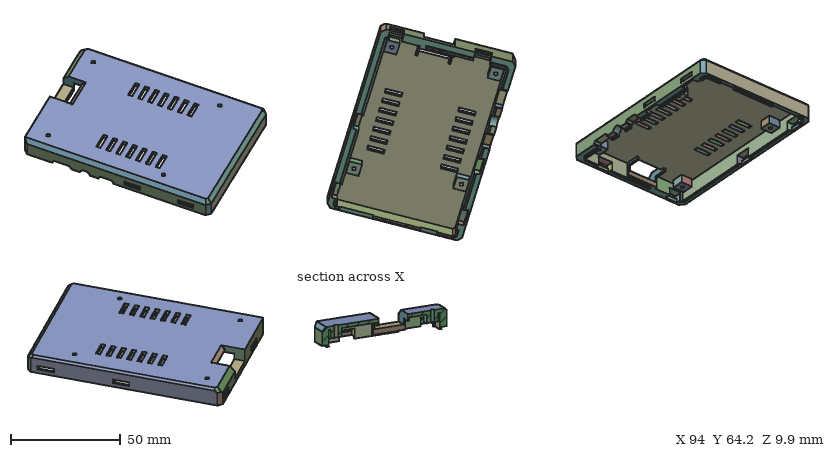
import cadquery as cq


length = 94.0
width = 64.2
body_height = 9.0
corner_chamfer = 2.0
edge_chamfer = 2.0
back_edge_chamfer = 1.0
left_edge_chamfer = 2.6
back_right_corner_chamfer = 1.4
bevel_cutter_length = 2 * length

roof = 2.0
left_wall = 3.95
right_wall = 2.0
side_wall = 3.7
cavity_corner = 0.9
lip_height = 0.9
lip_left_inset = 2.9
lip_right_inset = 0.9
lip_side_inset = 2.6
lip_corner = 1.5

slot_bottom = 2.0
slot_height = 2.0
slot_length = 7.9
latch_skin = 1.0
front_slot_starts = (51.1, 77.9)
back_slot_starts = (44.6, 80.8)
left_slot_start = 11.75
short_slot_length = 6.7
short_slot_inset = 3.95
lip_gap_inset = 5.9
lip_gap_end_inset = 21.9
front_corner_lip_start = 88.7

port_height = 1.7
port_chamfer = 1.1
wide_port = (14.8, 24.25)
narrow_port = (38.0, 45.5)
jack_centre_x = 31.2
jack_radius = 2.6
jack_centre_z = -0.6

notch_front = 29.3
notch_back = 44.1
notch_depth = 11.5
notch_floor = 2.6
notch_ledge_depth = 5.2
notch_rib_thickness = 0.9
notch_rib_drop = 3.5

boss_size = 6.0
boss_bottom = 2.9
screw_hole_diameter = 1.7
screw_inset = 7.3
left_screw_x = 9.3
front_right_screw_x = 67.4
back_right_screw_x = 73.1

vent_count = 7
vent_pitch = 5.0
first_vent_x = 33.2
vent_width = 2.0
vent_length = 7.9
vent_row_centres = (14.3, 49.3)


def box(x_range, y_range, z_range):
    """Box spanning the given ranges."""
    sizes = [end - start for start, end in (x_range, y_range, z_range)]
    corner = (x_range[0], y_range[0], z_range[0])
    return cq.Workplane("XY").box(*sizes, centered=False).translate(corner)


def chamfered_block(x_range, y_range, z_range, chamfer):
    """Box whose upright edges are chamfered."""
    return box(x_range, y_range, z_range).edges("|Z").chamfer(chamfer)


def bevel_cutter(x, y, outward_angle, size):
    """Material above a 45 degree bevel of the top edge that passes over (x, y)."""
    half = bevel_cutter_length / 2
    wedge = (
        cq.Workplane("XZ")
        .moveTo(-size, body_height)
        .lineTo(0, body_height - size)
        .lineTo(size, body_height - size)
        .lineTo(size, body_height)
        .close()
        .extrude(half, both=True)
    )
    return wedge.rotate((0, 0, 0), (0, 0, 1), outward_angle).translate((x, y, 0))


def outer_body():
    body = chamfered_block((0, length), (0, width), (0, body_height), corner_chamfer)
    near = corner_chamfer / 2
    far_x = length - near
    far_y = width - near
    bevels = (
        (length, 0, 0, edge_chamfer),
        (0, 0, -90, edge_chamfer),
        (0, width, 90, back_edge_chamfer),
        (far_x, near, -45, edge_chamfer),
        (far_x, far_y, 45, back_right_corner_chamfer),
        (near, far_y, 135, edge_chamfer),
    )
    for bevel in bevels:
        body = body.cut(bevel_cutter(*bevel))
    left_bevel = bevel_cutter(0, width, 180, left_edge_chamfer)
    behind_notch = box((-length, length), (notch_back, 2 * width), (0, body_height))
    return body.cut(left_bevel.intersect(behind_notch))


def cavity(bottom, top):
    return chamfered_block(
        (left_wall, length - right_wall), (side_wall, width - side_wall), (bottom, top), cavity_corner
    )


def lip():
    """Ring below the walls, flush with the cavity and interrupted near the latches."""
    z_range = (-lip_height, 0)
    x_range = (lip_left_inset, length - lip_right_inset)
    y_range = (lip_side_inset, width - lip_side_inset)
    ring = chamfered_block(x_range, y_range, z_range, lip_corner).cut(cavity(*z_range))
    right = (length - right_wall, length)
    high_gap_start = width - lip_gap_end_inset
    gaps = (
        ((front_slot_starts[1], front_corner_lip_start), (0, side_wall)),
        (right, (left_slot_start, left_slot_start + slot_length)),
        ((0, left_wall), (high_gap_start, width - short_slot_inset)),
        (right, (high_gap_start, width - lip_gap_inset)),
    )
    for gap_x, gap_y in gaps:
        ring = ring.cut(box(gap_x, gap_y, z_range))
    return ring


def latch_openings():
    """Slots through the outer skin, each backed by a pocket in the wall that is open below."""
    slot_z = (slot_bottom, slot_bottom + slot_height)
    pocket_z = (-lip_height, slot_bottom + slot_height)
    short_slot_end = width - short_slot_inset
    left_ranges = (
        (left_slot_start, left_slot_start + slot_length),
        (short_slot_end - short_slot_length, short_slot_end),
    )
    front_ranges = [(start, start + slot_length) for start in front_slot_starts]
    back_ranges = [(start, start + slot_length) for start in back_slot_starts]
    openings = cq.Workplane("XY")
    for along in left_ranges:
        openings = openings.add(box((0, latch_skin), along, slot_z))
        openings = openings.add(box((latch_skin, left_wall), along, pocket_z))
    for along in front_ranges:
        openings = openings.add(box(along, (0, latch_skin), slot_z))
        openings = openings.add(box(along, (latch_skin, side_wall), pocket_z))
    for along in back_ranges:
        openings = openings.add(box(along, (width - latch_skin, width), slot_z))
        openings = openings.add(box(along, (width - side_wall, width - latch_skin), pocket_z))
    return openings.combine()


def port_openings():
    """Two bevelled ports and a round jack, all open through the bottom of the front wall."""
    openings = (
        cq.Workplane("XZ").center(jack_centre_x, jack_centre_z).circle(jack_radius).extrude(-side_wall)
    )
    jack_sides = (jack_centre_x - jack_radius, jack_centre_x + jack_radius)
    openings = openings.union(box(jack_sides, (0, side_wall), (-lip_height, jack_centre_z)))
    for port in (wide_port, narrow_port):
        opening = box(port, (0, side_wall), (-lip_height, port_height))
        openings = openings.union(opening.edges("|Y and >Z").chamfer(port_chamfer))
    return openings


def notch():
    """Connector opening with a level floor and a bevelled inner end."""
    return (
        cq.Workplane("XZ", origin=(0, notch_front, 0))
        .moveTo(0, notch_floor)
        .lineTo(notch_depth, notch_floor)
        .lineTo(notch_depth, body_height - roof)
        .lineTo(notch_depth - roof, body_height - roof)
        .lineTo(notch_depth, body_height)
        .lineTo(0, body_height)
        .close()
        .extrude(notch_front - notch_back)
    )


def notch_frame():
    """Thicker wall around the notch, with a rib under the roof along each side of it."""
    y_range = (notch_front - notch_rib_thickness, notch_back + notch_rib_thickness)
    thick_wall = box((left_wall, notch_ledge_depth), y_range, (0, body_height - roof))
    ribs = box((left_wall, notch_depth), y_range, (body_height - notch_rib_drop, body_height - roof))
    return thick_wall.union(ribs)


screw_points = [
    (left_screw_x, screw_inset),
    (front_right_screw_x, screw_inset),
    (left_screw_x, width - screw_inset),
    (back_right_screw_x, width - screw_inset),
]
vent_points = [
    (first_vent_x + column * vent_pitch, y) for y in vent_row_centres for column in range(vent_count)
]
boss_plane = cq.Workplane("XY", origin=(0, 0, boss_bottom))
boss_height = body_height - roof - boss_bottom
bosses = boss_plane.pushPoints(screw_points).rect(boss_size, boss_size).extrude(boss_height)
screw_holes = boss_plane.pushPoints(screw_points).circle(screw_hole_diameter / 2).extrude(body_height)
vents = boss_plane.pushPoints(vent_points).rect(vent_width, vent_length).extrude(body_height)

result = outer_body().cut(cavity(0, body_height - roof))
result = result.union(bosses).union(notch_frame()).union(lip())
result = result.cut(latch_openings()).cut(port_openings()).cut(notch()).cut(screw_holes).cut(vents)